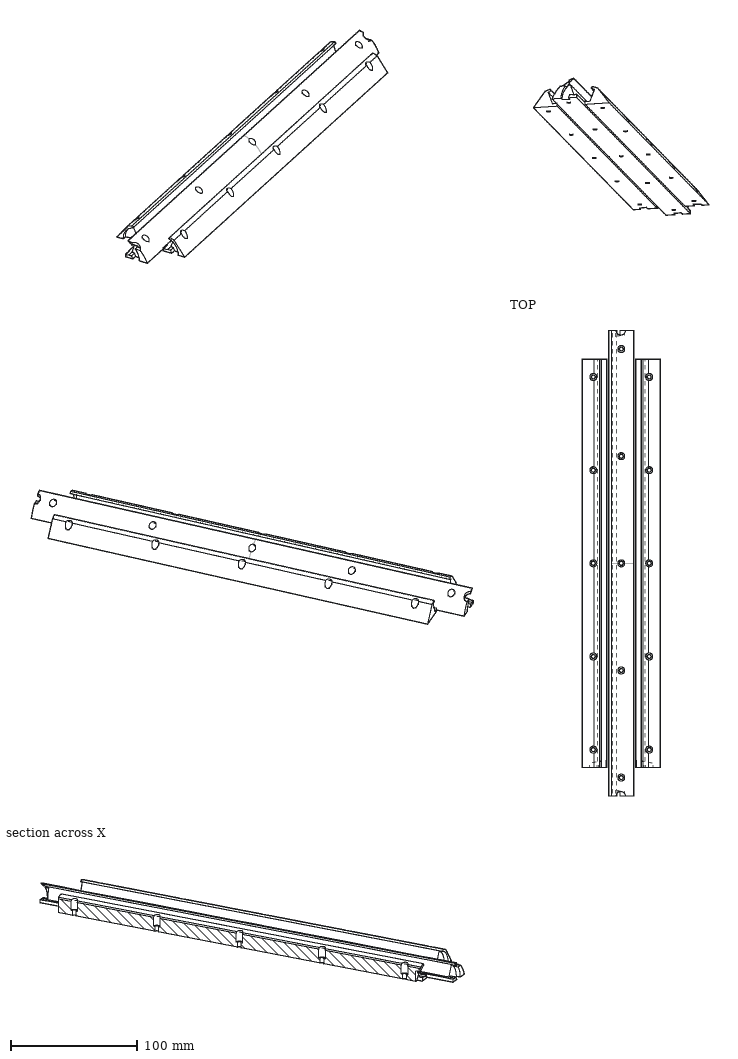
import cadquery as cq

centre_length = 369.0
centre_width = 20.0
centre_height = 16.0
back_bend = (0.0, 12.5)
beak_x = -7.7
beak_thickness = 0.5
centre_throat = (-3.7, 12.0)
centre_web_base = (-7.0, 2.5)

side_length = 323.5
side_outer_x = -31.0
side_inner_x = -11.5
ridge = (-21.5, 13.0)
crown = (-17.5, 14.5)
side_beak = (-16.2, 13.0)
side_throat = (-19.0, 11.8)
side_web_base = (-15.5, 2.5)

lip_height = 3.0
foot_dip = 0.5

hole_count = 5
centre_hole_pitch = 85.0
side_hole_pitch = 73.8
side_hole_x = -22.0
bore_diameter = 3.0
counterbore_diameter = 5.5
counterbore_floor = 4.5

pocket_depth = 5.0
pocket_slope = 0.17
pocket_ledge_end = 2.5
pocket_base_start = 3.7
pocket_base_end = 9.5
pocket_wall_middle = (7.7, 7.5)
pocket_reach = 3.7

notch_x = -0.5
notch_radius = 3.7
notch_floor = 10.0


def extrude_along_y(section, length):
    """Extrude an XZ section symmetrically about Y = 0."""
    return section.close().extrude(length / 2, both=True)


def centre_section():
    half_width = centre_width / 2
    foot_middle = ((centre_web_base[0] - half_width) / 2, centre_web_base[1] - foot_dip)
    return (
        cq.Workplane("XZ")
        .moveTo(-half_width, 0)
        .lineTo(half_width, 0)
        .spline([back_bend, (beak_x, centre_height)], includeCurrent=True)
        .lineTo(beak_x, centre_height - beak_thickness)
        .lineTo(*centre_throat)
        .lineTo(*centre_web_base)
        .threePointArc(foot_middle, (-half_width, lip_height))
    )


def side_section():
    foot_middle = ((side_web_base[0] + side_inner_x) / 2, side_web_base[1] - foot_dip)
    return (
        cq.Workplane("XZ")
        .moveTo(side_inner_x, 0)
        .lineTo(side_outer_x, 0)
        .lineTo(*ridge)
        .lineTo(*crown)
        .lineTo(*side_beak)
        .lineTo(*side_throat)
        .lineTo(*side_web_base)
        .threePointArc(foot_middle, (side_inner_x, lip_height))
    )


def screw_holes(x, pitch):
    """Cutter for a row of vertical counterbored holes centred on Y = 0."""
    first_y = -pitch * (hole_count - 1) / 2
    places = [(x, first_y + i * pitch) for i in range(hole_count)]
    bores = cq.Workplane("XY").pushPoints(places).circle(bore_diameter / 2).extrude(centre_height)
    counterbores = (
        cq.Workplane("XY", origin=(0, 0, counterbore_floor))
        .pushPoints(places)
        .circle(counterbore_diameter / 2)
        .extrude(centre_height)
    )
    return bores.union(counterbores)


def end_pocket(web_base, throat, inward, length):
    """Cutter for the pocket in the -Y end; inward is the X sign pointing from the web into the rail."""
    base_x, base_z = web_base
    wall_x, wall_z = pocket_wall_middle
    outline = (
        cq.Workplane("XZ", origin=(0, -length / 2 - pocket_reach, 0))
        .moveTo(base_x - inward * pocket_reach, base_z)
        .lineTo(base_x + inward * pocket_ledge_end, base_z)
        .lineTo(base_x + inward * pocket_base_start, 0)
        .lineTo(base_x + inward * pocket_base_end, 0)
        .threePointArc((base_x + inward * wall_x, wall_z), throat)
        .lineTo(base_x - inward * pocket_reach, throat[1])
        .close()
        .extrude(-pocket_reach - 2 * pocket_depth)
    )
    floor_start = -length / 2 + pocket_depth + pocket_slope * pocket_reach
    floor_width = pocket_base_end + 2 * pocket_reach
    floor_end = floor_start - pocket_slope * floor_width
    start_x = base_x - inward * pocket_reach
    end_x = start_x + inward * floor_width
    wedge = (
        cq.Workplane("XY")
        .moveTo(start_x, -length / 2 - pocket_reach)
        .lineTo(start_x, floor_start)
        .lineTo(end_x, floor_end)
        .lineTo(end_x, -length / 2 - pocket_reach)
        .close()
        .extrude(centre_height)
    )
    return outline.intersect(wedge)


def back_notch():
    """Cutter for the round notch in the centre rail's back at its -Y end."""
    return (
        cq.Workplane("XY", origin=(notch_x, -centre_length / 2, notch_floor))
        .circle(notch_radius)
        .extrude(centre_height)
    )


def make_centre_rail():
    pocket = end_pocket(centre_web_base, centre_throat, 1, centre_length)
    end_cut = pocket.union(back_notch())
    return (
        extrude_along_y(centre_section(), centre_length)
        .cut(screw_holes(0, centre_hole_pitch))
        .cut(end_cut)
        .cut(end_cut.mirror("XZ"))
    )


def make_side_rail():
    """The side rail on the -X side."""
    pocket = end_pocket(side_web_base, side_throat, -1, side_length)
    return (
        extrude_along_y(side_section(), side_length)
        .cut(screw_holes(side_hole_x, side_hole_pitch))
        .cut(pocket)
    )


centre_rail = make_centre_rail()
left_rail = make_side_rail()
right_rail = left_rail.mirror("YZ")

result = cq.Compound.makeCompound([centre_rail.val(), left_rail.val(), right_rail.val()])